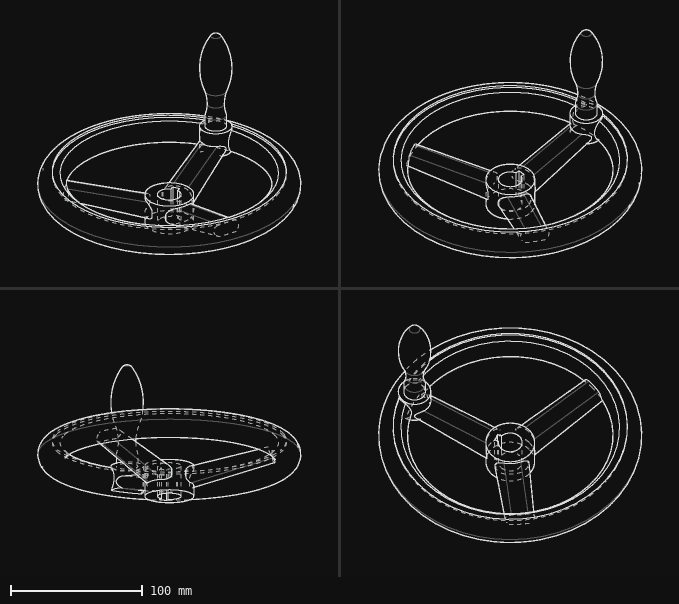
import cadquery as cq

wheel_radius = 100.0
rim_section_radius = 11.0
rim_centre_radius = wheel_radius - rim_section_radius
rim_bottom = 22.0
rim_centre_height = rim_bottom + rim_section_radius
step_inner_radius = 83.0
step_half_width = rim_centre_radius - step_inner_radius
step_height = rim_centre_height + (rim_section_radius**2 - step_half_width**2) ** 0.5

hub_radius = 18.5
hub_height = 24.0
bore_radius = 9.0
key_width = 5.5
key_top = 11.8

spoke_count = 3
spoke_flat_width = 12.8
spoke_start = 14.0
spoke_end = 84.0
spoke_start_thickness = 13.5
spoke_end_thickness = 9.2
spoke_start_height = 14.0
spoke_end_height = 31.8

handle_offset = 80.0
boss_radius = 12.5
boss_bottom = 24.0
boss_top = rim_bottom + 2 * rim_section_radius
shank_radius = 8.2
shank_top = 53.5
neck_radius = 6.5
neck_height = 63.2
grip_base_radius = 8.5
grip_base_height = 74.8
grip_radius = 12.5
grip_widest_height = 94.5
tip_radius = 4.0
tip_base_height = 122.0
handle_top = 124.0


def make_rim():
    ring = cq.Workplane("XZ").center(rim_centre_radius, rim_centre_height).circle(rim_section_radius)
    ring = ring.revolve(360, (-rim_centre_radius, 0, 0), (-rim_centre_radius, 1, 0))
    step = cq.Workplane("XY").workplane(offset=step_height).circle(rim_centre_radius)
    return ring.cut(step.extrude(rim_section_radius))


def make_spoke():
    return (
        cq.Workplane("XZ", origin=(0, spoke_start, spoke_start_height))
        .slot2D(spoke_flat_width + spoke_start_thickness, spoke_start_thickness)
        .workplane(offset=spoke_start - spoke_end)
        .center(0, spoke_end_height - spoke_start_height)
        .slot2D(spoke_flat_width + spoke_end_thickness, spoke_end_thickness)
        .loft(ruled=True)
    )


def arc_drop(half_width, rise):
    """Drop below the crown of a circular arc, halfway out to its end."""
    radius = (half_width**2 + rise**2) / (2 * rise)
    return radius - (radius**2 - (half_width / 2) ** 2) ** 0.5


def make_handle():
    neck_rise = arc_drop(neck_height - shank_top, shank_radius - neck_radius)
    neck_lower_middle = (neck_radius + neck_rise, (shank_top + neck_height) / 2)
    tip_drop = arc_drop(tip_radius, handle_top - tip_base_height)
    tip_middle = (tip_radius / 2, handle_top - tip_drop)
    profile = (
        cq.Workplane("XZ")
        .moveTo(0, boss_bottom)
        .lineTo(boss_radius, boss_bottom)
        .lineTo(boss_radius, boss_top)
        .lineTo(shank_radius, boss_top)
        .lineTo(shank_radius, shank_top)
        .threePointArc(neck_lower_middle, (neck_radius, neck_height))
        .tangentArcPoint((grip_base_radius, grip_base_height), relative=False)
        .threePointArc((grip_radius, grip_widest_height), (tip_radius, tip_base_height))
        .threePointArc(tip_middle, (0, handle_top))
        .close()
    )
    return profile.revolve(360, (0, 0, 0), (0, 1, 0)).translate((0, handle_offset, 0))


def make_bore():
    bore = cq.Workplane("XY").circle(bore_radius).extrude(hub_height)
    keyway = cq.Workplane("XY").center(0, key_top / 2).rect(key_width, key_top).extrude(hub_height)
    return bore.union(keyway)


result = make_rim().union(cq.Workplane("XY").circle(hub_radius).extrude(hub_height))
for index in range(spoke_count):
    angle = index * 360 / spoke_count
    result = result.union(make_spoke().rotate((0, 0, 0), (0, 0, 1), angle))
result = result.union(make_handle()).cut(make_bore())